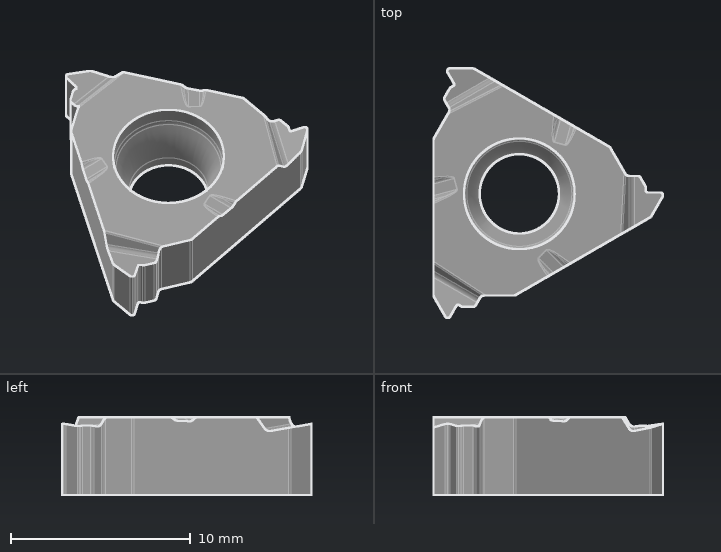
import cadquery as cq
import math


thickness = 4.35
edge_distance = 4.77
chamfer_distance = 5.66
corner_radius = 0.28
corner_count = 3

tip_distance = 6.9
tip_land_width = 0.2
tip_radius = 0.14
flank_start_distance = 5.69
flank_angle = 60
flank_offset = 0.92
crest_distance = 6.29
step_distance = 6.13
step_angle = 90 - flank_angle
step_radius = 0.08
crest_inner_radius = 0.28
crest_outer_radius = 0.2
crest_root_radius = 0.24

rake_angle = 10
tip_drop = 0.37
groove_heading = -30
groove_distance = 6.2
groove_wall_angle = 68
groove_foot_radius = 0.3
groove_rim_radius = 0.12
groove_reach = 5.55

notch_heading = 15
notch_slope = 10
notch_end_x = -3.54
notch_end_y = 0.55
notch_floor_width = 0.62
notch_wall_angle = 45
notch_foot_radius = 0.28
notch_rim_radius = 0.14
notch_height = 0.7
notch_reach = 2.08

hole_diameter = 4.4
rim_diameter = 6.16
bore_end_diameter = 6.0
seat_depth = 1.15
seat_end_depth = 3.57
seat_fillet_radius = 0.51


def turn(x, y, degrees):
    angle = math.radians(degrees)
    return (
        x * math.cos(angle) - y * math.sin(angle),
        x * math.sin(angle) + y * math.cos(angle),
    )


def rounded_outline(plane, corners):
    """Closed outline through (x, y, radius) corners, each rounded by a tangent arc."""
    outline = cq.Workplane(plane)
    for i, (x, y, radius) in enumerate(corners):
        corner = cq.Vector(x, y)
        before = (cq.Vector(*corners[i - 1][:2]) - corner).normalized()
        after = (cq.Vector(*corners[(i + 1) % len(corners)][:2]) - corner).normalized()
        half_angle = before.getAngle(after) / 2
        start = corner + before * (radius / math.tan(half_angle))
        end = corner + after * (radius / math.tan(half_angle))
        inward = (before + after).normalized()
        middle = corner + inward * (radius / math.sin(half_angle) - radius)
        outline = outline.moveTo(start.x, start.y) if i == 0 else outline.lineTo(start.x, start.y)
        if radius > 0:
            outline = outline.threePointArc((middle.x, middle.y), (end.x, end.y))
    return outline.close()


def tooth_corners():
    """Corners of one tooth and the flat after it, for the tooth that points to -Y."""
    flank_slope = math.tan(math.radians(flank_angle))
    apex_distance = tip_distance + tip_land_width / 2 * flank_slope
    apex_x = -edge_distance + (apex_distance - flank_start_distance) / flank_slope
    step_x = apex_x + (apex_distance - step_distance) / flank_slope
    crest_x = step_x + (crest_distance - step_distance) / math.tan(math.radians(step_angle))
    crest_apex_x = apex_x + flank_offset / math.sin(math.radians(flank_angle))
    crest_end_x = crest_apex_x + (apex_distance - crest_distance) / flank_slope
    root_x = crest_apex_x + (apex_distance - chamfer_distance) / flank_slope
    flat_end_x = 2 * edge_distance - chamfer_distance * math.sqrt(3)
    return [
        (-edge_distance, -flank_start_distance, corner_radius),
        (apex_x - tip_land_width / 2, -tip_distance, tip_radius),
        (apex_x + tip_land_width / 2, -tip_distance, tip_radius),
        (step_x, -step_distance, step_radius),
        (crest_x, -crest_distance, crest_inner_radius),
        (crest_end_x, -crest_distance, crest_outer_radius),
        (root_x, -chamfer_distance, crest_root_radius),
        (flat_end_x, -chamfer_distance, corner_radius),
    ]


def make_body():
    corners = [
        (*turn(x, y, index * 360 / corner_count), radius)
        for index in range(corner_count)
        for x, y, radius in tooth_corners()
    ]
    return rounded_outline("XY", corners).extrude(thickness)


def make_groove():
    """Prism above the rake face, bounded inwards by the groove wall."""
    rake = math.radians(rake_angle)
    floor_normal = cq.Vector(0, math.sin(rake), math.cos(rake))
    along_x, along_y = turn(1, 0, groove_heading)
    along = cq.Vector(along_x, along_y, -along_y * math.tan(rake))
    foot_x, foot_y = turn(0, -groove_distance, groove_heading)
    foot_z = thickness - tip_drop - (tip_distance + foot_y) * math.tan(rake)
    plane = cq.Plane((foot_x, foot_y, foot_z), xDir=along.cross(floor_normal), normal=along * -1)
    wall_run = groove_reach / math.tan(math.radians(groove_wall_angle))
    profile = [
        (0, 0, groove_foot_radius),
        (groove_reach, 0, 0),
        (groove_reach, groove_reach, 0),
        (-wall_run, groove_reach, 0),
    ]
    return rounded_outline(plane, profile).extrude(groove_reach, both=True)


def make_notch():
    """Flared channel whose floor climbs inwards from the side to the top face."""
    slope = math.radians(notch_slope)
    along_x, along_y = turn(math.cos(slope), 0, notch_heading)
    across_x, across_y = turn(0, 1, notch_heading)
    plane = cq.Plane(
        (notch_end_x, notch_end_y, thickness),
        xDir=(across_x, across_y, 0),
        normal=(along_x, along_y, math.sin(slope)),
    )
    foot = notch_floor_width / 2 + notch_foot_radius * math.tan(math.radians(notch_wall_angle / 2))
    flare = foot + notch_height / math.tan(math.radians(notch_wall_angle))
    profile = [
        (-foot, 0, notch_foot_radius),
        (foot, 0, notch_foot_radius),
        (flare, notch_height, 0),
        (-flare, notch_height, 0),
    ]
    return rounded_outline(plane, profile).extrude(notch_reach, both=True)


def make_hole():
    """Tapered bore, screw seat bulging towards the axis, and through hole."""
    hole_radius = hole_diameter / 2
    bore_end_radius = bore_end_diameter / 2
    seat_height = seat_end_depth - seat_depth
    step_in = bore_end_radius - hole_radius
    arc_radius = (step_in**2 + seat_height**2) / (2 * step_in)
    half_sweep = math.asin(seat_height / arc_radius) / 2
    middle_radius = hole_radius + arc_radius * (1 - math.cos(half_sweep))
    middle_z = thickness - seat_end_depth + arc_radius * math.sin(half_sweep)
    hole = (
        cq.Workplane("XZ")
        .lineTo(hole_radius, 0)
        .lineTo(hole_radius, thickness - seat_end_depth)
        .threePointArc((middle_radius, middle_z), (bore_end_radius, thickness - seat_depth))
        .lineTo(rim_diameter / 2, thickness)
        .lineTo(0, thickness)
        .close()
        .revolve(360, (0, 0, 0), (0, 1, 0))
    )
    seat_edge = cq.NearestToPointSelector((0, 0, thickness - seat_depth))
    return hole.edges("%CIRCLE").edges(seat_edge).fillet(seat_fillet_radius)


def round_groove_rim(body):
    rim_x, rim_y = turn(0, -groove_distance, groove_heading)
    rim = cq.NearestToPointSelector((rim_x, rim_y, thickness))
    return body.faces(">Z").edges(rim).fillet(groove_rim_radius)


def round_notch_rim(body):
    rim_margin = 0.01
    rim = cq.selectors.BoxSelector(
        (-edge_distance + rim_margin, notch_end_y - notch_reach, thickness - rim_margin),
        (notch_end_x + notch_floor_width, notch_end_y + notch_reach, thickness + rim_margin),
    )
    return body.faces(">Z").edges(rim).fillet(notch_rim_radius)


result = make_body()
for _ in range(corner_count):
    result = result.cut(make_groove()).cut(make_notch())
    result = round_groove_rim(result)
    result = round_notch_rim(result)
    result = result.rotate((0, 0, 0), (0, 0, 1), 360 / corner_count)
result = result.cut(make_hole())